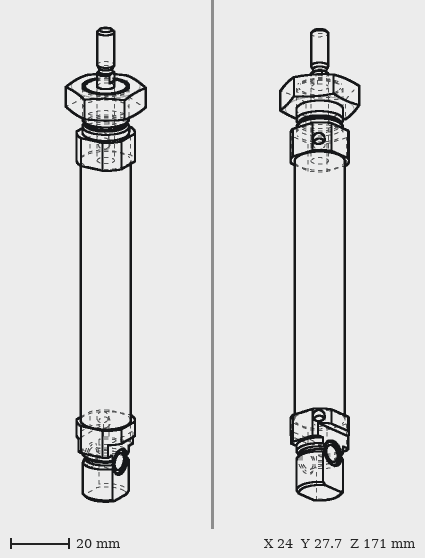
import cadquery as cq
import math


rod_diameter = 6.0
rod_neck_diameter = 4.8
rod_top = 171.0
rod_tip_chamfer = 0.9
rod_thread_end = 158.2
rod_neck_top = 157.0
rod_neck_bottom = 155.6
rod_shank_top = 155.1
wrench_flat_width = 5.0
wrench_flat_bottom = 152.4

nut_across_flats = 24.0
nut_thickness = 8.2
nut_top = 150.3
nut_face_diameter = 23.6
nut_chamfer_angle = 15.0

nose_diameter = 16.0
groove_diameter = 14.4
nose_chamfer = (nose_diameter - groove_diameter) / 2
groove_cone_height = 1.2
upper_groove_top = 138.2
upper_groove_bottom = 135.5
lower_groove_top = 15.2
lower_groove_bottom = 12.1

cap_across_flats = 18.1
cap_corner_diameter = 20.2
tube_diameter = 17.3
upper_cap_top = 133.2
upper_cap_bottom = 123.0
lower_cap_top = 27.2
lower_cap_bottom = 17.3

eye_width = 12.0
eye_top = 21.9
pin_hole_diameter = 6.0
pin_counterbore_diameter = 8.0
pin_mouth_diameter = 9.0
pin_mouth_depth = (pin_mouth_diameter - pin_counterbore_diameter) / 2
pin_hole_height = 13.2

port_diameter = 4.1
port_depth = 5.1
port_angle = 52.0
upper_port_height = 127.2
lower_port_height = (lower_cap_top + eye_top) / 2


def revolve_profile(points):
    """Turn a closed (radius, height) outline about the Z axis."""
    return cq.Workplane("XZ").polyline(points).close().revolve(360, (0, 0, 0), (0, 1, 0))


def cylinder_between(diameter, bottom, top):
    return cq.Workplane("XY").workplane(offset=bottom).circle(diameter / 2).extrude(top - bottom)


def make_rod():
    radius = rod_diameter / 2
    neck_radius = rod_neck_diameter / 2
    rod = revolve_profile([
        (0, upper_cap_bottom),
        (radius, upper_cap_bottom),
        (radius, rod_shank_top),
        (neck_radius, rod_neck_bottom),
        (neck_radius, rod_neck_top),
        (radius, rod_thread_end),
        (radius, rod_top - rod_tip_chamfer),
        (radius - rod_tip_chamfer, rod_top),
        (0, rod_top),
    ])
    flat_height = rod_neck_bottom - wrench_flat_bottom
    for side in (-1, 1):
        cutter = (
            cq.Workplane("XY")
            .workplane(offset=wrench_flat_bottom)
            .center(side * (wrench_flat_width + rod_diameter) / 2, 0)
            .rect(rod_diameter, rod_diameter)
            .extrude(flat_height)
        )
        rod = rod.cut(cutter)
    return rod


def make_nut():
    corner_diameter = nut_across_flats / math.cos(math.radians(30))
    nut_bottom = nut_top - nut_thickness
    hexagon = (
        cq.Workplane("XY")
        .workplane(offset=nut_bottom)
        .transformed(rotate=(0, 0, 90))
        .polygon(6, corner_diameter)
        .extrude(nut_thickness)
    )
    face_radius = nut_face_diameter / 2
    corner_radius = corner_diameter / 2
    chamfer_height = (corner_radius - face_radius) * math.tan(math.radians(nut_chamfer_angle))
    chamfer_envelope = revolve_profile([
        (0, nut_bottom),
        (face_radius, nut_bottom),
        (corner_radius, nut_bottom + chamfer_height),
        (corner_radius, nut_top - chamfer_height),
        (face_radius, nut_top),
        (0, nut_top),
    ])
    return hexagon.intersect(chamfer_envelope).cut(cylinder_between(nose_diameter, nut_bottom, nut_top))


def make_cap(bottom, top):
    """Square end cap with rounded corners."""
    square = (
        cq.Workplane("XY")
        .workplane(offset=bottom)
        .rect(cap_across_flats, cap_across_flats)
        .extrude(top - bottom)
    )
    return square.intersect(cylinder_between(cap_corner_diameter, bottom, top))


def make_upper_nose():
    radius = nose_diameter / 2
    groove_radius = groove_diameter / 2
    return revolve_profile([
        (0, upper_cap_bottom),
        (radius, upper_cap_bottom),
        (radius, upper_groove_bottom),
        (groove_radius, upper_groove_bottom + nose_chamfer),
        (groove_radius, upper_groove_top - groove_cone_height),
        (radius, upper_groove_top),
        (radius, nut_top - nose_chamfer),
        (radius - nose_chamfer, nut_top),
        (0, nut_top),
    ])


def make_lower_nose():
    radius = nose_diameter / 2
    groove_radius = groove_diameter / 2
    return revolve_profile([
        (0, 0),
        (radius - nose_chamfer, 0),
        (radius, nose_chamfer),
        (radius, lower_groove_bottom),
        (groove_radius, lower_groove_bottom + groove_cone_height),
        (groove_radius, lower_groove_top - nose_chamfer),
        (radius, lower_groove_top),
        (radius, lower_cap_top),
        (0, lower_cap_top),
    ])


def cut_eye(body):
    """Mill the two eye flats and drill the cross hole with a countersunk seat at each mouth."""
    for side in (-1, 1):
        cutter = (
            cq.Workplane("XY")
            .center(side * (eye_width + cap_corner_diameter) / 2, 0)
            .rect(cap_corner_diameter, cap_corner_diameter)
            .extrude(eye_top)
        )
        body = body.cut(cutter)
    half_width = eye_width / 2
    hole_radius = pin_hole_diameter / 2
    counterbore_radius = pin_counterbore_diameter / 2
    mouth_radius = pin_mouth_diameter / 2
    seat = half_width - pin_mouth_depth
    drill = (
        cq.Workplane("XY")
        .polyline([
            (-half_width, 0),
            (-half_width, mouth_radius),
            (-seat, counterbore_radius),
            (-seat, hole_radius),
            (seat, hole_radius),
            (seat, counterbore_radius),
            (half_width, mouth_radius),
            (half_width, 0),
        ])
        .close()
        .revolve(360, (0, 0, 0), (1, 0, 0))
        .translate((0, 0, pin_hole_height))
    )
    return body.cut(drill)


def cut_ports(body):
    """Drill a radial blind air port into one rounded corner of each cap."""
    corner_radius = cap_corner_diameter / 2
    angle = math.radians(port_angle)
    outward = cq.Vector(-math.cos(angle), math.sin(angle), 0)
    for height in (upper_port_height, lower_port_height):
        mouth = outward * corner_radius + cq.Vector(0, 0, height)
        drill = cq.Solid.makeCylinder(port_diameter / 2, port_depth, mouth, outward * -1)
        body = body.cut(cq.Workplane(obj=drill))
    return body


def make_cylinder_body():
    body = (
        cylinder_between(tube_diameter, lower_cap_top, upper_cap_bottom)
        .union(make_cap(upper_cap_bottom, upper_cap_top))
        .union(make_upper_nose())
        .union(make_cap(lower_cap_bottom, lower_cap_top))
        .union(make_lower_nose())
    )
    body = cut_eye(body)
    body = cut_ports(body)
    return body.cut(cylinder_between(rod_diameter, upper_cap_bottom, nut_top))


cylinder_body = make_cylinder_body()
rod = make_rod()
nut = make_nut()

result = cq.Compound.makeCompound([cylinder_body.val(), rod.val(), nut.val()])